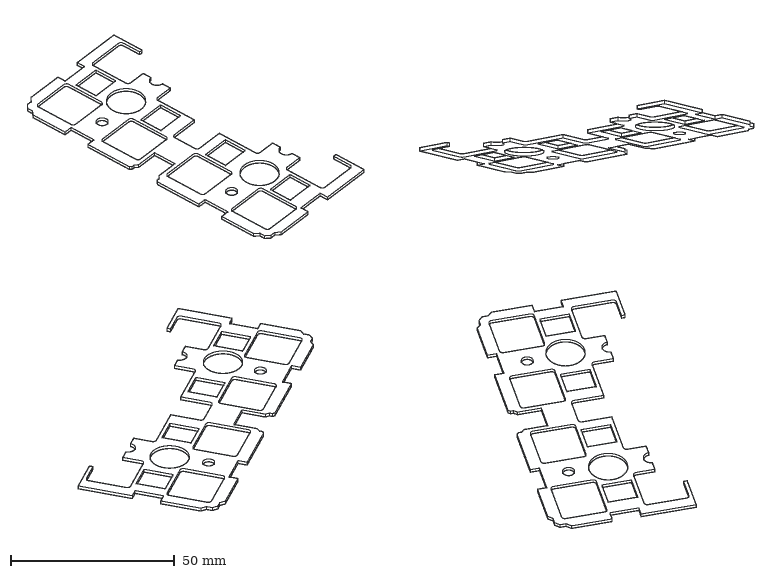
import cadquery as cq

LENGTH = 100.0
WIDTH = 45.25
THICKNESS = 1.11
HALF_LENGTH = LENGTH / 2

OPENING_PITCH = 25.87
OPENING_LENGTH = 15.0
OPENING_WIDTH = 14.2
OPENING_CENTER_Y = 11.15
CORNER_RADIUS = 1.0
INNER_OPENING_X = OPENING_PITCH / 2
OUTER_OPENING_X = INNER_OPENING_X + OPENING_PITCH
OPENING_CENTERS_X = (-OUTER_OPENING_X, -INNER_OPENING_X, INNER_OPENING_X, OUTER_OPENING_X)

WINDOW_LENGTH = 7.95
WINDOW_WIDTH = 9.3
WINDOW_CENTER_Y = 24.15
WINDOW_SHIFT_X = -0.55

WEB_CENTER_X = OPENING_PITCH
WEB_INNER_X = INNER_OPENING_X + OPENING_LENGTH / 2
WEB_OUTER_X = OUTER_OPENING_X - OPENING_LENGTH / 2
SHELF_Y = 30.0
TAB_TOP_Y = 36.95
TAB_NOTCH_RADIUS = 2.3
TAB_NOTCH_RISE = 0.1
TAB_NOTCH_CENTER_Y = TAB_TOP_Y + TAB_NOTCH_RISE
LARGE_HOLE_DIAMETER = 12.0
LARGE_HOLE_X = 26.67
LARGE_HOLE_Y = 23.4
SMALL_HOLE_DIAMETER = 3.7

ARM_INNER_X = OUTER_OPENING_X + OPENING_LENGTH / 2
HOOK_LENGTH = 11.25
HOOK_WIDTH = 1.15

NOTCH_LENGTH = 9.1
NOTCH_DEPTH = 2.9
SIDE_NOTCH_CENTER_Y = 23.35

BRIDGE_FRONT_Y = 10.1
BRIDGE_BACK_Y = 19.65
BACK_GAP_HALF_LENGTH = 5.0
FRONT_GAP_HALF_LENGTH = 4.05

CORNER_BEVEL = 1.35
CORNER_RUN = 1.9
CORNER_SIZE = 3 * CORNER_BEVEL + CORNER_RUN

GAP_UPPER_BEVEL_TOP_Y = 2.6
GAP_UPPER_BEVEL_BOTTOM_Y = 1.6
GAP_LOWER_BEVEL = 0.6


def half_plate():
    """Right half of the plate outline, from the centre line to the +X edge."""
    notch_inner_x = HALF_LENGTH - NOTCH_DEPTH
    notch_front_y = SIDE_NOTCH_CENTER_Y - NOTCH_LENGTH / 2
    notch_back_y = SIDE_NOTCH_CENTER_Y + NOTCH_LENGTH / 2
    hook_tip_x = HALF_LENGTH - HOOK_LENGTH
    points = [
        (0, BRIDGE_FRONT_Y),
        (FRONT_GAP_HALF_LENGTH, BRIDGE_FRONT_Y),
        (FRONT_GAP_HALF_LENGTH, GAP_UPPER_BEVEL_TOP_Y),
        (BACK_GAP_HALF_LENGTH, GAP_UPPER_BEVEL_BOTTOM_Y),
        (BACK_GAP_HALF_LENGTH, GAP_LOWER_BEVEL),
        (BACK_GAP_HALF_LENGTH + GAP_LOWER_BEVEL, 0),
        (WEB_OUTER_X - NOTCH_LENGTH, 0),
        (WEB_OUTER_X - NOTCH_LENGTH, NOTCH_DEPTH),
        (WEB_OUTER_X, NOTCH_DEPTH),
        (WEB_OUTER_X, 0),
        (HALF_LENGTH - CORNER_SIZE, 0),
        (HALF_LENGTH - CORNER_SIZE + CORNER_BEVEL, CORNER_BEVEL),
        (HALF_LENGTH - 2 * CORNER_BEVEL, CORNER_BEVEL),
        (HALF_LENGTH - CORNER_BEVEL, 2 * CORNER_BEVEL),
        (HALF_LENGTH - CORNER_BEVEL, CORNER_SIZE - CORNER_BEVEL),
        (HALF_LENGTH, CORNER_SIZE),
        (HALF_LENGTH, notch_front_y),
        (notch_inner_x, notch_front_y),
        (notch_inner_x, notch_back_y),
        (HALF_LENGTH, notch_back_y),
        (HALF_LENGTH, WIDTH),
        (hook_tip_x, WIDTH),
        (hook_tip_x, WIDTH - HOOK_WIDTH),
        (ARM_INNER_X, WIDTH - HOOK_WIDTH),
        (ARM_INNER_X, SHELF_Y),
        (WEB_OUTER_X, SHELF_Y),
        (WEB_OUTER_X, TAB_TOP_Y),
        (WEB_INNER_X, TAB_TOP_Y),
        (WEB_INNER_X, SHELF_Y),
        (BACK_GAP_HALF_LENGTH, SHELF_Y),
        (BACK_GAP_HALF_LENGTH, BRIDGE_BACK_Y),
        (0, BRIDGE_BACK_Y),
    ]
    rounded_corners = [
        (ARM_INNER_X, WIDTH - HOOK_WIDTH),
        (ARM_INNER_X, SHELF_Y),
        (WEB_OUTER_X, SHELF_Y),
        (WEB_INNER_X, SHELF_Y),
        (BACK_GAP_HALF_LENGTH, BRIDGE_BACK_Y),
    ]
    plate = cq.Workplane("XY").polyline(points).close().extrude(THICKNESS)
    for x, y in rounded_corners:
        corner = cq.selectors.NearestToPointSelector((x, y, THICKNESS / 2))
        plate = plate.edges("|Z").edges(corner).fillet(CORNER_RADIUS)
    return plate


def openings():
    """Cutters for the four large openings with rounded corners."""
    centers = [(x, OPENING_CENTER_Y) for x in OPENING_CENTERS_X]
    blocks = cq.Workplane("XY").pushPoints(centers).rect(OPENING_LENGTH, OPENING_WIDTH).extrude(THICKNESS)
    return blocks.edges("|Z").fillet(CORNER_RADIUS)


def windows():
    """Cutters for the four small rectangular windows."""
    centers = [(x + WINDOW_SHIFT_X, WINDOW_CENTER_Y) for x in OPENING_CENTERS_X]
    return cq.Workplane("XY").pushPoints(centers).rect(WINDOW_LENGTH, WINDOW_WIDTH).extrude(THICKNESS)


def round_cutters(x, y, diameter):
    """A pair of round cutters, mirrored about the centre line."""
    return cq.Workplane("XY").pushPoints([(-x, y), (x, y)]).circle(diameter / 2).extrude(THICKNESS)


right_half = half_plate()
plate = right_half.union(right_half.mirror("YZ")).clean()
plate = plate.cut(openings()).cut(windows())
plate = plate.cut(round_cutters(LARGE_HOLE_X, LARGE_HOLE_Y, LARGE_HOLE_DIAMETER))
plate = plate.cut(round_cutters(WEB_CENTER_X, OPENING_CENTER_Y, SMALL_HOLE_DIAMETER))
plate = plate.cut(round_cutters(WEB_CENTER_X, TAB_NOTCH_CENTER_Y, 2 * TAB_NOTCH_RADIUS))

result = plate